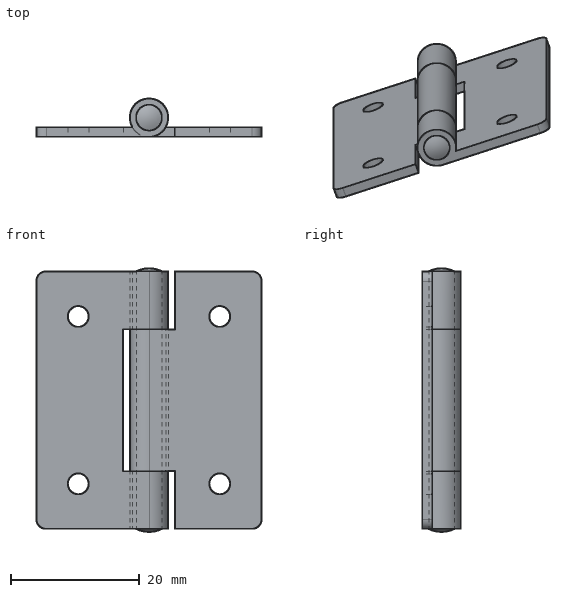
import cadquery as cq

total_height = 41.0
leaf_height = 40.0
middle_knuckle_height = 22.0
half_width = 17.5
knuckle_radius = 3.0
pin_radius = 2.0
leaf_thickness = 1.5
slot_edge_x = 4.0
corner_radius = 1.5
hole_diameter = 3.2
hole_x = 11.0
hole_z = 13.0

dome_height = (total_height - leaf_height) / 2
leaf_back_y = -knuckle_radius
end_knuckle_height = (leaf_height - middle_knuckle_height) / 2
end_knuckle_z = (middle_knuckle_height + end_knuckle_height) / 2


def box_between(x_start, x_end, z_center, height):
    """Flat leaf stock between two X positions, centred on z_center."""
    return cq.Workplane("XY").box(x_end - x_start, leaf_thickness, height).translate(
        ((x_start + x_end) / 2, leaf_back_y + leaf_thickness / 2, z_center)
    )


def make_leaf(side, knuckles):
    """Leaf on the given X side (-1 or +1); knuckles lists (centre Z, height) of each rolled eye."""
    outer_x = side * half_width
    inner_x = side * slot_edge_x
    leaf = box_between(min(outer_x, inner_x), max(outer_x, inner_x), 0, leaf_height)
    leaf = leaf.edges("|Y").edges("<X" if side < 0 else ">X").fillet(corner_radius)

    for z_center, height in knuckles:
        tongue = box_between(min(inner_x, 0), max(inner_x, 0), z_center, height)
        barrel = (
            cq.Workplane("XY")
            .workplane(offset=z_center - height / 2)
            .circle(knuckle_radius)
            .extrude(height)
        )
        leaf = leaf.union(tongue).union(barrel)

    bore = cq.Workplane("XY").circle(pin_radius).extrude(leaf_height / 2, both=True)
    leaf = leaf.cut(bore)

    screw_holes = (
        cq.Workplane("XZ")
        .pushPoints([(side * hole_x, hole_z), (side * hole_x, -hole_z)])
        .circle(hole_diameter / 2)
        .extrude(knuckle_radius)
    )
    return leaf.cut(screw_holes)


def make_pin():
    """Hinge pin with a shallow spherical dome on each end."""
    shank_end = leaf_height / 2
    tip = shank_end + dome_height
    dome_radius = (pin_radius**2 + dome_height**2) / (2 * dome_height)
    mid_r = pin_radius / 2
    mid_z = tip - dome_radius + (dome_radius**2 - mid_r**2) ** 0.5
    return (
        cq.Workplane("XZ")
        .moveTo(0, -tip)
        .threePointArc((mid_r, -mid_z), (pin_radius, -shank_end))
        .lineTo(pin_radius, shank_end)
        .threePointArc((mid_r, mid_z), (0, tip))
        .close()
        .revolve(360, (0, 0), (0, 1))
    )


end_knuckle_leaf = make_leaf(
    -1, [(end_knuckle_z, end_knuckle_height), (-end_knuckle_z, end_knuckle_height)]
)
middle_knuckle_leaf = make_leaf(1, [(0, middle_knuckle_height)])
pin = make_pin()

result = cq.Compound.makeCompound([end_knuckle_leaf.val(), middle_knuckle_leaf.val(), pin.val()])